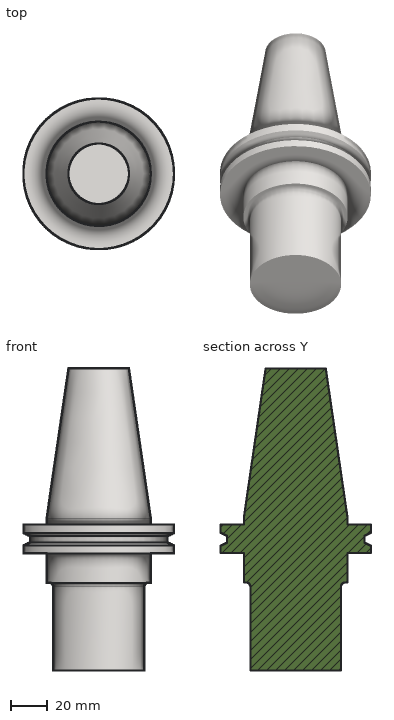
import cadquery as cq

total_height = 165.5

shank_radius = 50.0 / 2
collar_radius = 57.1 / 2
flange_radius = 82.6 / 2
groove_radius = 75.5 / 2

collar_bottom = 48.0
shank_fillet = 2.0
flange_bottom = 64.0
flange_top = 80.0
taper_bottom = 83.3

groove_middle = 71.8
groove_width = 7.0
groove_floor_width = 3.5

taper_ratio = 7 / 24
taper_top_radius = collar_radius - (total_height - taper_bottom) * taper_ratio / 2


def make_body():
    """Stack the round sections, ending in the taper."""
    profile = (
        cq.Workplane("XZ")
        .lineTo(shank_radius, 0)
        .lineTo(shank_radius, collar_bottom - shank_fillet)
        .radiusArc((shank_radius + shank_fillet, collar_bottom), shank_fillet)
        .lineTo(collar_radius, collar_bottom)
        .lineTo(collar_radius, flange_bottom)
        .lineTo(flange_radius, flange_bottom)
        .lineTo(flange_radius, flange_top)
        .lineTo(collar_radius, flange_top)
        .lineTo(collar_radius, taper_bottom)
        .lineTo(taper_top_radius, total_height)
        .lineTo(0, total_height)
        .close()
    )
    return profile.revolve(360, (0, 0, 0), (0, 1, 0))


def make_groove():
    """Ring that cuts the gripper groove into the flange rim."""
    profile = cq.Workplane("XZ").polyline([
        (flange_radius, groove_middle - groove_width / 2),
        (groove_radius, groove_middle - groove_floor_width / 2),
        (groove_radius, groove_middle + groove_floor_width / 2),
        (flange_radius, groove_middle + groove_width / 2),
    ]).close()
    return profile.revolve(360, (0, 0, 0), (0, 1, 0))


result = make_body().cut(make_groove())